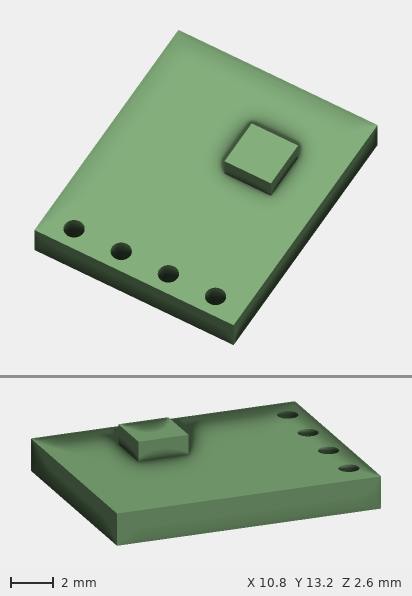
import cadquery as cq

board_width = 10.75
board_length = 13.25
total_height = 2.6
chip_height = 1.0
board_thickness = total_height - chip_height

chip_side = 2.5
chip_x = 1.88
chip_y = 1.88

hole_count = 4
hole_diameter = 1.0
hole_pitch = 2.55
hole_edge_distance = 1.0
hole_row_y = hole_edge_distance - board_length / 2


def make_board():
    blank = cq.Workplane("XY").box(
        board_width, board_length, board_thickness, centered=(True, True, False)
    )
    return (
        blank.faces(">Z").workplane(origin=(0, hole_row_y, board_thickness))
        .rarray(hole_pitch, 0.13, hole_count, 1)
        .hole(hole_diameter)
    )


def make_chip():
    return (
        cq.Workplane("XY", origin=(chip_x, chip_y, board_thickness))
        .rect(chip_side, chip_side)
        .extrude(chip_height)
    )


result = make_board().union(make_chip())